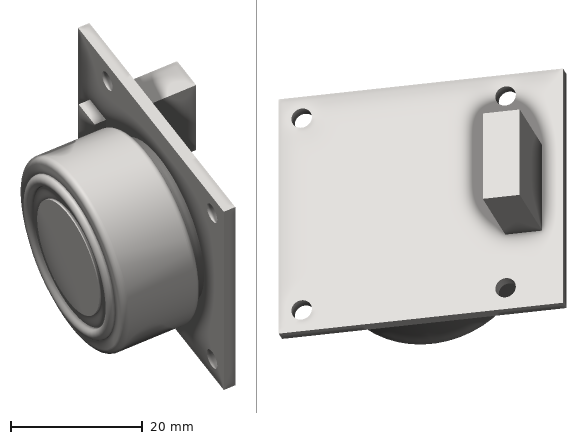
import cadquery as cq


board_width = 44.6
board_height = 39.1
board_thickness = 2.0
board_left = -25.0
mount_hole_diameter = 3.2
mount_hole_spacing = 32.0

connector_center_x = -18.85
connector_height = 14.25
socket_width = 5.8
socket_depth = 13.5
pin_block_width = 4.9
pin_block_depth = 2.0

neck_diameter = 27.1
neck_length = 2.0
can_diameter = 32.3
can_length = 13.5
can_edge_radius = 1.0
ring_outer_diameter = neck_diameter
ring_bead_radius = 1.0
disc_diameter = 19.0
disc_height = 0.5


def block(width, depth, height, center_x, back_y):
    """Box centred on Z = 0, reaching from back_y toward -Y."""
    return (
        cq.Workplane("XY")
        .box(width, depth, height)
        .translate((center_x, back_y - depth / 2, 0))
    )


def cylinder(diameter, length, back_y):
    """Cylinder on the can axis, reaching from back_y toward -Y."""
    return cq.Workplane("XZ", origin=(0, back_y, 0)).circle(diameter / 2).extrude(length)


def make_board():
    """Circuit board with its mounting holes and the connector blocks on its two faces."""
    plate = block(
        board_width, board_thickness, board_height, board_left + board_width / 2, board_thickness
    )
    mount_holes = (
        cq.Workplane("XZ", origin=(0, board_thickness, 0))
        .rect(mount_hole_spacing, mount_hole_spacing, forConstruction=True)
        .vertices()
        .circle(mount_hole_diameter / 2)
        .extrude(board_thickness)
    )
    socket = block(
        socket_width, socket_depth, connector_height, connector_center_x, board_thickness + socket_depth
    )
    pin_block = block(pin_block_width, pin_block_depth, connector_height, connector_center_x, 0)
    return plate.cut(mount_holes).union(socket).union(pin_block)


def make_bead(face_y):
    """Ring of half-round section standing on the can's front face."""
    bead_center = ring_outer_diameter / 2 - ring_bead_radius
    return (
        cq.Workplane("XY")
        .moveTo(bead_center - ring_bead_radius, face_y)
        .threePointArc(
            (bead_center, face_y - ring_bead_radius),
            (bead_center + ring_bead_radius, face_y),
        )
        .close()
        .revolve(360, (0, 0, 0), (0, 1, 0))
    )


def make_can():
    """Round can on a narrower neck, with a bead and a raised disc on its front face."""
    face_y = -neck_length - can_length
    neck = cylinder(neck_diameter, neck_length, 0)
    shell = cylinder(can_diameter, can_length, -neck_length).edges().fillet(can_edge_radius)
    disc = cylinder(disc_diameter, disc_height, face_y)
    return shell.union(neck).union(make_bead(face_y)).union(disc)


board = make_board()
can = make_can()

result = cq.Compound.makeCompound([board.val(), can.val()])